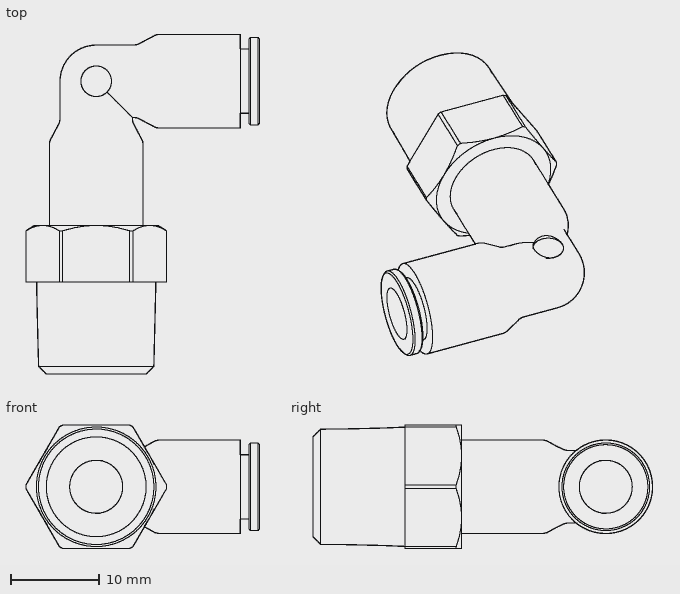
import cadquery as cq
import math


pipe_radius = 4.1
sleeve_radius = 5.3
flare_start = 4.57
flare_end = 6.85
flare_blend_radius = 1.0
rim_search_margin = 0.05
bore_radius = 3.0

total_length = 38.42
leg_end = total_length - sleeve_radius
hex_start = 16.3
hex_end = 22.7
hex_across_flats = 14.0
hex_corner_radius = 7.95
hex_chamfer_drop = 0.6
thread_root_radius = 6.75
thread_tip_radius = 6.55
thread_chamfer = 0.9

sleeve_end = 16.3
neck_radius = 3.65
cap_start = 17.25
cap_end = 18.48
cap_radius = 4.95
cap_chamfer = 0.2

emblem_radius = 1.73
emblem_floor = 3.7


def cylinder_x(radius, start, end):
    return cq.Workplane("YZ", origin=(start, 0, 0)).circle(radius).extrude(end - start)


def flared_leg(length):
    """Pipe along +X that widens through a blended cone into the sleeve."""
    outline = [
        (0, 0),
        (0, pipe_radius),
        (flare_start, pipe_radius),
        (flare_end, sleeve_radius),
        (length, sleeve_radius),
        (length, 0),
    ]
    leg = cq.Workplane("XY").polyline(outline).close().revolve(360, (0, 0, 0), (1, 0, 0))
    for position in (flare_start, flare_end):
        rim = cq.selectors.BoxSelector(
            (position - rim_search_margin, -total_length, -total_length),
            (position + rim_search_margin, total_length, total_length),
        )
        leg = leg.edges("%CIRCLE").edges(rim).fillet(flare_blend_radius)
    return leg


def hexagon():
    """Hexagon along +X, corners rounded to a cylinder and chamfered on the elbow side."""
    flat_radius = hex_across_flats / 2
    corner_to_corner = hex_across_flats / math.cos(math.pi / 6)
    prism = (
        cq.Workplane("YZ", origin=(hex_start, 0, 0))
        .polygon(6, corner_to_corner)
        .extrude(hex_end - hex_start)
    )
    envelope = (
        cq.Workplane("XY")
        .polyline([
            (hex_start, 0),
            (hex_start, flat_radius),
            (hex_start + hex_chamfer_drop, hex_corner_radius),
            (hex_end, hex_corner_radius),
            (hex_end, 0),
        ])
        .close()
        .revolve(360, (0, 0, 0), (1, 0, 0))
    )
    return prism.intersect(envelope)


def tapered_thread():
    """Plain tapered envelope of the pipe thread, along +X, with a chamfered tip."""
    outline = [
        (hex_end, 0),
        (hex_end, thread_root_radius),
        (leg_end - thread_chamfer, thread_tip_radius),
        (leg_end, thread_tip_radius - thread_chamfer),
        (leg_end, 0),
    ]
    return cq.Workplane("XY").polyline(outline).close().revolve(360, (0, 0, 0), (1, 0, 0))


def threaded_leg():
    leg = flared_leg(hex_start).union(hexagon()).union(tapered_thread())
    return leg.rotate((0, 0, 0), (0, 0, 1), -90)


def socket_leg():
    neck = cylinder_x(neck_radius, sleeve_end, cap_start)
    cap = cylinder_x(cap_radius, cap_start, cap_end).edges().chamfer(cap_chamfer)
    return flared_leg(sleeve_end).union(neck).union(cap)


def elbow_bore():
    """Equal bores of both legs, meeting in a spherical corner."""
    socket_bore = cylinder_x(bore_radius, 0, cap_end)
    thread_bore = cylinder_x(bore_radius, 0, leg_end).rotate((0, 0, 0), (0, 0, 1), -90)
    return cq.Workplane("XY").sphere(bore_radius).union(socket_bore).union(thread_bore)


def emblem_recess():
    return (
        cq.Workplane("XY", origin=(0, 0, emblem_floor))
        .circle(emblem_radius)
        .extrude(pipe_radius - emblem_floor)
    )


elbow = cq.Workplane("XY").sphere(pipe_radius)
body = elbow.union(threaded_leg()).union(socket_leg())
result = body.cut(elbow_bore()).cut(emblem_recess())